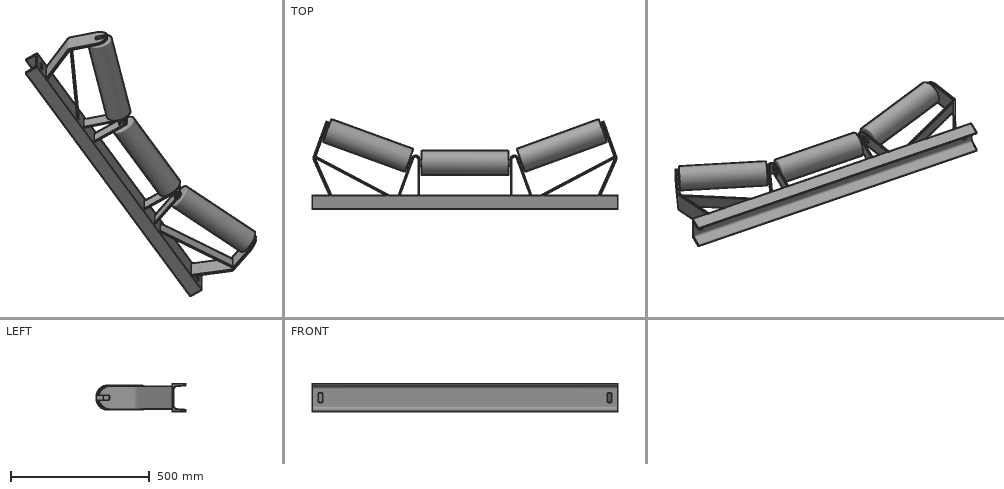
import cadquery as cq
import math

BEAM_LENGTH = 1100.0
BEAM_HEIGHT = 100.0
FLANGE_WIDTH = 50.0
WEB_THICKNESS = 7.0
FLANGE_ROOT_THICKNESS = 10.2
FLANGE_TIP_THICKNESS = 7.0
ROOT_FILLET = 9.0
TOE_FILLET = 4.0

MOUNTING_SLOT_SPACING = 1041.0
MOUNTING_SLOT_WIDTH = 18.0
MOUNTING_SLOT_HEIGHT = 36.0

TILT = 20.0
ROLLER_DIAMETER = 89.0
ROLLER_LENGTH = 315.0
ROLLER_EDGE_FILLET = 4.0
MIDDLE_ROLLER_Y = 117.0
SIDE_ROLLER_X = 349.0
SIDE_ROLLER_Y = 179.0

SHAFT_DIAMETER = 25.0
FLAT_WIDTH = 18.0
PLATE_GAP = 7.0

OUTER_HEIGHT = 82.0
OUTER_THICKNESS = 7.2
OUTER_BEND_RADIUS = 11.0
OUTER_TIP_RISE = 31.0
LEG_SLOPE = 24.0
LEG_FOOT_X = 488.0

STRIP_HEIGHT = 55.0
INNER_THICKNESS = 5.0
INNER_BEND_RADIUS = 9.0
BRACE_THICKNESS = 5.0
BRACE_FOOT_X = 273.0

MIDDLE_CENTER = (0, MIDDLE_ROLLER_Y)
LEFT_CENTER = (-SIDE_ROLLER_X, SIDE_ROLLER_Y)
RIGHT_CENTER = (SIDE_ROLLER_X, SIDE_ROLLER_Y)
ROLLER_PLACES = [(LEFT_CENTER, -TILT), (MIDDLE_CENTER, 0), (RIGHT_CENTER, TILT)]
PLATE_FACE = ROLLER_LENGTH / 2 + PLATE_GAP
SHAFT_LENGTH = 2 * (PLATE_FACE + INNER_THICKNESS)
FOOT_DEPTH = WEB_THICKNESS / 2

TILTED_NORMAL = 180 - TILT
LEG_NORMAL = 180 + LEG_SLOPE
UPRIGHT_NORMAL = 0


def offset(point, distance, degrees):
    """The point at a distance from another one, in a direction of the XY plane."""
    angle = math.radians(degrees)
    return (point[0] + distance * math.cos(angle), point[1] + distance * math.sin(angle))


def reach(point, degrees):
    """How far a point lies from the origin, measured along a direction."""
    angle = math.radians(degrees)
    return point[0] * math.cos(angle) + point[1] * math.sin(angle)


def meeting_point(first_reach, first_normal, last_reach, last_normal):
    """Where two lines cross, each given by its normal and its reach along that normal."""
    first = math.radians(first_normal)
    last = math.radians(last_normal)
    spread = math.sin(last - first)
    x = (first_reach * math.sin(last) - last_reach * math.sin(first)) / spread
    y = (last_reach * math.cos(first) - first_reach * math.cos(last)) / spread
    return (x, y)


def place_on_axis(body, center, tilt):
    """Move a body built along X at the origin onto a roller axis."""
    return body.rotate((0, 0, 0), (0, 0, 1), tilt).translate((*center, 0))


def cylinder_along_x(diameter, length):
    return cq.Workplane("YZ", origin=(-length / 2, 0, 0)).circle(diameter / 2).extrude(length)



def round_beam_edges(beam, y, z, radius):
    """Fillet the two lengthwise edges at (y, z) and (y, -z)."""
    reach_around = 1.0
    for edge_z in (-z, z):
        around_edge = cq.selectors.BoxSelector(
            (-BEAM_LENGTH, y - reach_around, edge_z - reach_around),
            (BEAM_LENGTH, y + reach_around, edge_z + reach_around),
        )
        beam = beam.edges("|X").edges(around_edge).fillet(radius)
    return beam


def make_beam():
    top = BEAM_HEIGHT / 2
    root = top - FLANGE_ROOT_THICKNESS
    tip = top - FLANGE_TIP_THICKNESS
    beam = (
        cq.Workplane("YZ", origin=(-BEAM_LENGTH / 2, 0, 0))
        .polyline([
            (0, -top),
            (-FLANGE_WIDTH, -top),
            (-FLANGE_WIDTH, -tip),
            (-WEB_THICKNESS, -root),
            (-WEB_THICKNESS, root),
            (-FLANGE_WIDTH, tip),
            (-FLANGE_WIDTH, top),
            (0, top),
        ])
        .close()
        .extrude(BEAM_LENGTH)
    )
    beam = round_beam_edges(beam, -WEB_THICKNESS, root, ROOT_FILLET)
    beam = round_beam_edges(beam, -FLANGE_WIDTH, tip, TOE_FILLET)
    slots = (
        cq.Workplane("XZ")
        .rarray(MOUNTING_SLOT_SPACING, 11, 2, 1)
        .slot2D(MOUNTING_SLOT_HEIGHT, MOUNTING_SLOT_WIDTH, 90)
        .extrude(WEB_THICKNESS)
    )
    return beam.cut(slots)



def bent_plate(center, inner_radius, thickness, normals, lengths, height):
    """A plate with two flat legs joined by a round bend about a centre.

    The bend runs counter-clockwise from the first normal to the last one.
    """
    outer_radius = inner_radius + thickness
    first, last = normals
    first_length, last_length = lengths
    middle = (first + last) / 2
    outer_start = offset(center, outer_radius, first)
    outer_end = offset(center, outer_radius, last)
    inner_start = offset(center, inner_radius, first)
    inner_end = offset(center, inner_radius, last)
    return (
        cq.Workplane("XY", origin=(0, 0, -height / 2))
        .moveTo(*offset(outer_start, first_length, first - 90))
        .lineTo(*outer_start)
        .threePointArc(offset(center, outer_radius, middle), outer_end)
        .lineTo(*offset(outer_end, last_length, last + 90))
        .lineTo(*offset(inner_end, last_length, last + 90))
        .lineTo(*inner_end)
        .threePointArc(offset(center, inner_radius, middle), inner_start)
        .lineTo(*offset(inner_start, first_length, first - 90))
        .close()
        .extrude(height)
    )


def leg_length(bend_end, slope):
    """Length of a leg that runs from the end of a bend into the web."""
    return (bend_end[1] + FOOT_DEPTH) / math.cos(math.radians(slope))


def outer_bend_center():
    outer_radius = OUTER_BEND_RADIUS + OUTER_THICKNESS
    tilted_reach = reach(LEFT_CENTER, TILTED_NORMAL) + PLATE_FACE - OUTER_BEND_RADIUS
    leg_reach = reach((-LEG_FOOT_X, 0), LEG_NORMAL) - outer_radius
    return meeting_point(tilted_reach, TILTED_NORMAL, leg_reach, LEG_NORMAL)


def round_tip(plate):
    """Round the free end of the tilted leg to a half circle."""
    radius = OUTER_HEIGHT / 2
    start = -PLATE_FACE - 2 * OUTER_THICKNESS
    depth = 3 * OUTER_THICKNESS
    arc_y = OUTER_TIP_RISE - radius
    end_block = (
        cq.Workplane("YZ", origin=(start, 0, 0))
        .center(arc_y + radius, 0)
        .rect(2 * radius, 2 * OUTER_HEIGHT)
        .extrude(depth)
    )
    half_round = cq.Workplane("YZ", origin=(start, 0, 0)).center(arc_y, 0).circle(radius).extrude(depth)
    return plate.cut(place_on_axis(end_block.cut(half_round), LEFT_CENTER, -TILT))


def make_outer_support():
    center = outer_bend_center()
    along_plate = TILTED_NORMAL - 90
    upper_length = reach(LEFT_CENTER, along_plate) + OUTER_TIP_RISE - reach(center, along_plate)
    leg_start = offset(center, OUTER_BEND_RADIUS + OUTER_THICKNESS, LEG_NORMAL)
    plate = bent_plate(
        center,
        OUTER_BEND_RADIUS,
        OUTER_THICKNESS,
        (TILTED_NORMAL, LEG_NORMAL),
        (upper_length, leg_length(leg_start, LEG_SLOPE)),
        OUTER_HEIGHT,
    )
    return round_tip(plate)


def make_brace():
    """A flat strip from the bend of the outer support down to the web."""
    top = offset(outer_bend_center(), OUTER_BEND_RADIUS + OUTER_THICKNESS / 2, TILTED_NORMAL)
    foot = (-BRACE_FOOT_X, -FOOT_DEPTH)
    middle = ((top[0] + foot[0]) / 2, (top[1] + foot[1]) / 2)
    angle = math.degrees(math.atan2(foot[1] - top[1], foot[0] - top[0]))
    strip = cq.Workplane("XY").box(math.dist(top, foot), BRACE_THICKNESS, STRIP_HEIGHT)
    return place_on_axis(strip, middle, angle)


def make_inner_support():
    """A strip folded over between the left and the middle roller."""
    outer_radius = INNER_BEND_RADIUS + INNER_THICKNESS
    upright_reach = -PLATE_FACE - outer_radius
    tilted_reach = reach(LEFT_CENTER, TILTED_NORMAL) - PLATE_FACE - outer_radius
    center = meeting_point(upright_reach, UPRIGHT_NORMAL, tilted_reach, TILTED_NORMAL)
    tilted_start = offset(center, outer_radius, TILTED_NORMAL)
    return bent_plate(
        center,
        INNER_BEND_RADIUS,
        INNER_THICKNESS,
        (UPRIGHT_NORMAL, TILTED_NORMAL),
        (leg_length(center, 0), leg_length(tilted_start, TILT)),
        STRIP_HEIGHT,
    )



def make_shaft(center, tilt):
    round_part = cylinder_along_x(SHAFT_DIAMETER, 2 * PLATE_FACE)
    flats = cq.Workplane("XY").box(SHAFT_LENGTH, SHAFT_DIAMETER, FLAT_WIDTH)
    flat_part = cylinder_along_x(SHAFT_DIAMETER, SHAFT_LENGTH).intersect(flats)
    return place_on_axis(round_part.union(flat_part), center, tilt)


def make_roller(center, tilt):
    roller = cylinder_along_x(ROLLER_DIAMETER, ROLLER_LENGTH)
    roller = roller.faces("<X or >X").edges().fillet(ROLLER_EDGE_FILLET)
    roller = roller.cut(cylinder_along_x(SHAFT_DIAMETER, ROLLER_LENGTH))
    return place_on_axis(roller, center, tilt)



def make_shaft_slot(center, tilt):
    """Slots open at the top with round bottoms, for both ends of a shaft."""
    length = 2 * (PLATE_FACE + OUTER_THICKNESS)
    rise = ROLLER_DIAMETER
    opening = cq.Workplane("XY").box(length, rise, FLAT_WIDTH).translate((0, rise / 2, 0))
    bottom = cylinder_along_x(SHAFT_DIAMETER, length).intersect(
        cq.Workplane("XY").box(length, SHAFT_DIAMETER, FLAT_WIDTH)
    )
    return place_on_axis(opening.union(bottom), center, tilt)


def make_frame():
    left_supports = make_outer_support().union(make_brace()).union(make_inner_support())
    frame = make_beam().union(left_supports).union(left_supports.mirror("YZ"))
    for center, tilt in ROLLER_PLACES:
        frame = frame.cut(make_shaft_slot(center, tilt))
    return frame


frame = make_frame()
shafts = [make_shaft(center, tilt) for center, tilt in ROLLER_PLACES]
rollers = [make_roller(center, tilt) for center, tilt in ROLLER_PLACES]

result = cq.Compound.makeCompound([
    frame.val(),
    *[shaft.val() for shaft in shafts],
    *[roller.val() for roller in rollers],
])